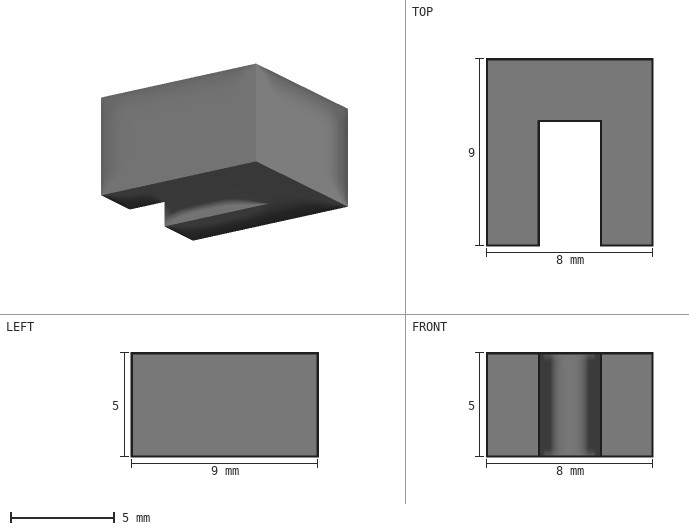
import cadquery as cq

width = 8.0
length = 9.0
height = 5.0
slot_width = 3.0
bridge_depth = 3.0

slot_length = length - bridge_depth


def make_block():
    """Plain outer block, centred on the origin."""
    return cq.Workplane("XY").box(width, length, height)


def make_slot():
    """Full-height slot, open at the -Y end and centred across X."""
    slot_centre_y = (slot_length - length) / 2
    return (
        cq.Workplane("XY")
        .center(0, slot_centre_y)
        .box(slot_width, slot_length, height)
    )


result = make_block().cut(make_slot())